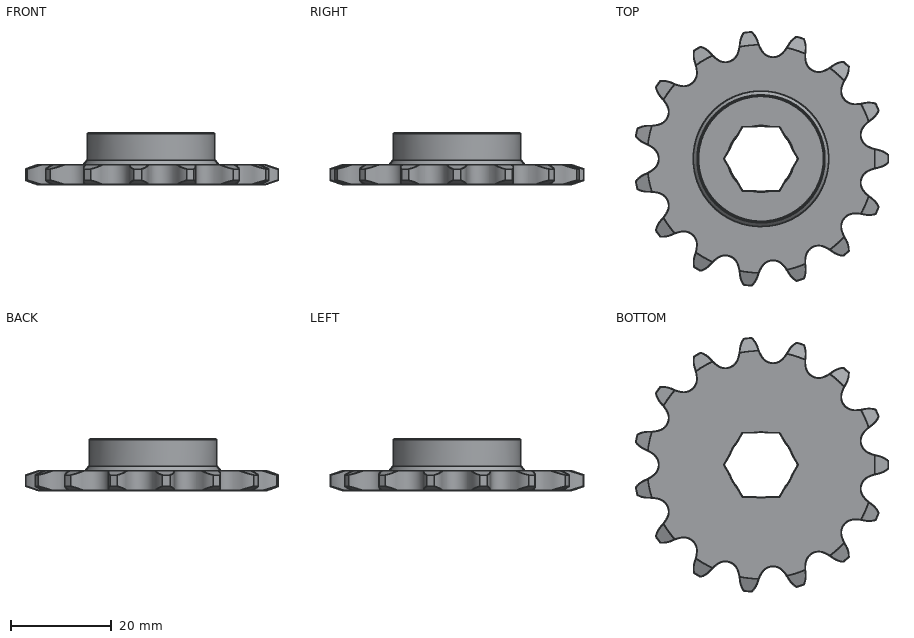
import cadquery as cq
import math

TEETH = 15
PITCH = 9.55
ROLLER_DIA = 5.1

PLATE_THICKNESS = 4.0
TIP_THICKNESS = 2.2
SIDE_BEVEL_START_RADIUS = 22.65

TOTAL_HEIGHT = 10.3
HUB_RADIUS = 12.7
HUB_TOP_CHAMFER_WIDTH = 0.3
HUB_TOP_CHAMFER_DEPTH = 0.2
HUB_BASE_FLARE_WIDTH = 0.75
HUB_BASE_FLARE_HEIGHT = 0.9

HEX_SIDES = 6
HEX_ACROSS_FLATS = 12.7
ROUND_BORE_DIA = 12.95
BORE_CHAMFER = 0.15

SEATING_CLEARANCE = 0.1
WORKING_CENTRE_OFFSET = 0.8 * ROLLER_DIA
TOPPING_CENTRE_OFFSET = 1.4 * ROLLER_DIA
TIP_HEIGHT = 0.3 * PITCH

HALF_STEP = math.pi / TEETH
PITCH_RADIUS = PITCH / 2 / math.sin(HALF_STEP)
OUTER_RADIUS = PITCH / 2 / math.tan(HALF_STEP) + TIP_HEIGHT

SEATING_ANGLE = math.radians(35 + 60 / TEETH)
WORKING_ANGLE = math.radians(18 - 56 / TEETH)
TOPPING_ANGLE = math.radians(17 - 64 / TEETH)

SEATING_RADIUS = (ROLLER_DIA + SEATING_CLEARANCE) / 2
WORKING_RADIUS = SEATING_RADIUS + WORKING_CENTRE_OFFSET
TOPPING_RADIUS = (
    WORKING_CENTRE_OFFSET * math.cos(WORKING_ANGLE)
    + TOPPING_CENTRE_OFFSET * math.cos(TOPPING_ANGLE)
    - WORKING_RADIUS
)


def on_circle(centre, radius, angle):
    """Point at the given radius and angle about a centre."""
    return (centre[0] + radius * math.cos(angle), centre[1] + radius * math.sin(angle))


def tooth_gap():
    """Cutter for one gap, centred on the +Y axis."""
    roller = (0, PITCH_RADIUS)

    seating_end = -SEATING_ANGLE
    working_end = seating_end + WORKING_ANGLE
    working_centre = on_circle(roller, WORKING_CENTRE_OFFSET, math.pi + seating_end)
    gap_bottom = (0, PITCH_RADIUS - SEATING_RADIUS)
    seat_point = on_circle(roller, SEATING_RADIUS, seating_end)
    working_mid = on_circle(working_centre, WORKING_RADIUS, seating_end + WORKING_ANGLE / 2)
    working_point = on_circle(working_centre, WORKING_RADIUS, working_end)

    topping_centre = on_circle(roller, TOPPING_CENTRE_OFFSET, -HALF_STEP)
    flank_normal = working_end + math.pi
    topping_start = on_circle(topping_centre, TOPPING_RADIUS, flank_normal)
    centre_distance = math.hypot(*topping_centre)
    cos_tip = (OUTER_RADIUS**2 - centre_distance**2 - TOPPING_RADIUS**2) / (
        2 * centre_distance * TOPPING_RADIUS
    )
    tip_angle = math.atan2(topping_centre[1], topping_centre[0]) + math.acos(cos_tip)
    tip_point = on_circle(topping_centre, TOPPING_RADIUS, tip_angle)
    topping_mid = on_circle(topping_centre, TOPPING_RADIUS, (flank_normal + tip_angle) / 2)

    def mirrored(point):
        return (-point[0], point[1])

    clear_y = OUTER_RADIUS + ROLLER_DIA
    return (
        cq.Workplane("XY")
        .moveTo(*mirrored(seat_point))
        .threePointArc(gap_bottom, seat_point)
        .threePointArc(working_mid, working_point)
        .lineTo(*topping_start)
        .threePointArc(topping_mid, tip_point)
        .lineTo(tip_point[0], clear_y)
        .lineTo(-tip_point[0], clear_y)
        .lineTo(*mirrored(tip_point))
        .threePointArc(mirrored(topping_mid), mirrored(topping_start))
        .lineTo(*mirrored(working_point))
        .threePointArc(mirrored(working_mid), mirrored(seat_point))
        .close()
        .extrude(PLATE_THICKNESS)
    )


def turned_blank():
    """Plate with bevelled rim and hub, as one revolved profile."""
    bevel_depth = (PLATE_THICKNESS - TIP_THICKNESS) / 2
    profile = [
        (0, 0),
        (SIDE_BEVEL_START_RADIUS, 0),
        (OUTER_RADIUS, bevel_depth),
        (OUTER_RADIUS, PLATE_THICKNESS - bevel_depth),
        (SIDE_BEVEL_START_RADIUS, PLATE_THICKNESS),
        (HUB_RADIUS + HUB_BASE_FLARE_WIDTH, PLATE_THICKNESS),
        (HUB_RADIUS, PLATE_THICKNESS + HUB_BASE_FLARE_HEIGHT),
        (HUB_RADIUS, TOTAL_HEIGHT - HUB_TOP_CHAMFER_DEPTH),
        (HUB_RADIUS - HUB_TOP_CHAMFER_WIDTH, TOTAL_HEIGHT),
        (0, TOTAL_HEIGHT),
    ]
    return cq.Workplane("XZ").polyline(profile).close().revolve(360, (0, 0, 0), (0, 1, 0))


def bore():
    """Hexagon with corners on the X axis, joined with a round hole chamfered at the hub face."""
    hex_across_corners = HEX_ACROSS_FLATS / math.cos(math.pi / HEX_SIDES)
    hexagon = cq.Workplane("XY").polygon(HEX_SIDES, hex_across_corners).extrude(TOTAL_HEIGHT)
    bore_radius = ROUND_BORE_DIA / 2
    round_hole = cq.Workplane("XY").circle(bore_radius).extrude(TOTAL_HEIGHT)
    countersink = cq.Workplane(
        cq.Solid.makeCone(
            bore_radius,
            bore_radius + BORE_CHAMFER,
            BORE_CHAMFER,
            pnt=cq.Vector(0, 0, TOTAL_HEIGHT - BORE_CHAMFER),
        )
    )
    return hexagon.union(round_hole).union(countersink)


gap = tooth_gap()
step_degrees = 360 / TEETH
result = turned_blank().cut(bore())
for index in range(TEETH):
    result = result.cut(gap.rotate((0, 0, 0), (0, 0, 1), 90 + index * step_degrees))